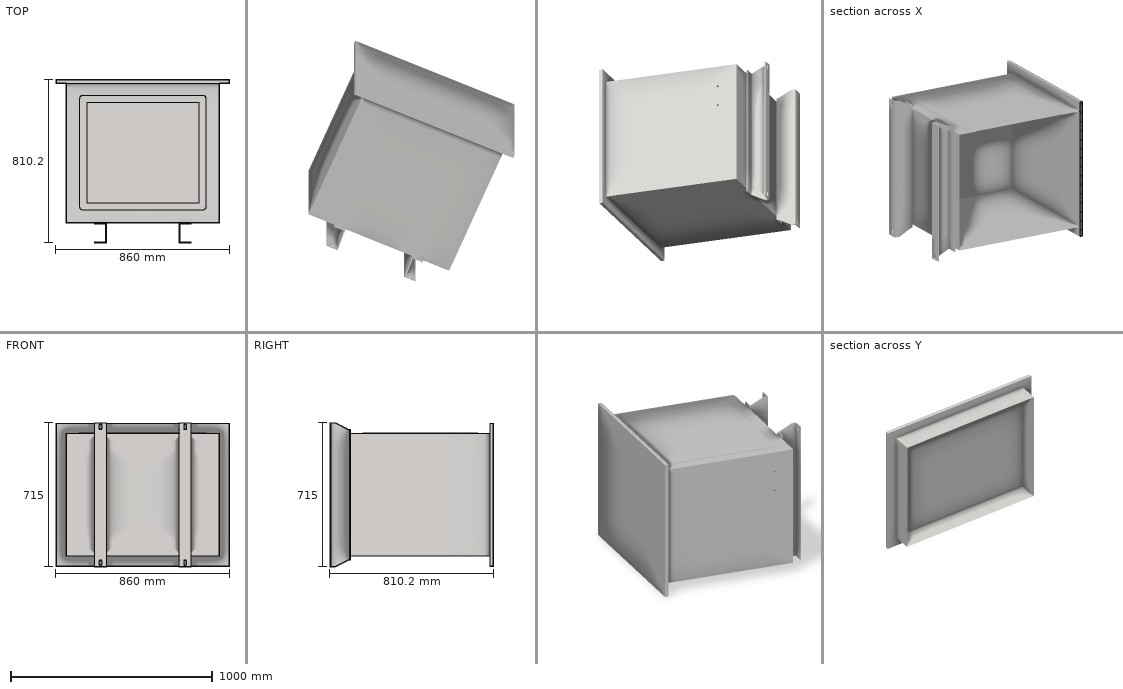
import cadquery as cq

OVERALL_DEPTH = 810.2

PLATE_WIDTH = 860.0
PLATE_HEIGHT = 710.0
PLATE_THICKNESS = 18.0

RAIL_DEPTH = 100.0
RAIL_WIDTH = 60.0
RAIL_SHEET = 5.0
RAIL_GAP = 360.0
RAIL_FRONT_HEIGHT = 715.0
RAIL_BACK_HEIGHT = 646.0
RAIL_FRONT_STRAIGHT = 25.0
RAIL_BACK_STRAIGHT = 8.0
SLOT_LENGTH = 26.0
SLOT_WIDTH = 13.0
SLOT_END_DISTANCE = 20.0

BOX_WIDTH = 760.0
BOX_HEIGHT = 610.0
BOX_DEPTH = OVERALL_DEPTH - PLATE_THICKNESS - RAIL_DEPTH
WALL = 1.5
SIDE_HOLE_DIAMETER = 9.0
SIDE_HOLE_HEIGHTS = (100.0, 200.0)
SIDE_HOLE_FRONT_DISTANCE = 100.0

OPENING_WIDTH = 556.0
OPENING_LENGTH = 498.0
OPENING_CENTRE_Y = -344.4
COVER_OVERLAP = 35.0
COVER_WIDTH = OPENING_WIDTH + 2 * COVER_OVERLAP
COVER_LENGTH = OPENING_LENGTH + 2 * COVER_OVERLAP
COVER_THICKNESS = 1.5
COVER_CORNER_RADIUS = 14.0

BOX_FRONT = -BOX_DEPTH
BOX_TOP = BOX_HEIGHT / 2
BOX_LEFT = -BOX_WIDTH / 2
RAIL_FRONT = BOX_FRONT - RAIL_DEPTH


def block(width, depth, height, front):
    """Box centred in X and Z that reaches from the given front Y toward +Y."""
    return (
        cq.Workplane("XY")
        .box(width, depth, height, centered=(True, False, True))
        .translate((0, front, 0))
    )


def slab(width, length, thickness, bottom):
    """Flat plate centred on the top opening, standing on the given Z."""
    return (
        cq.Workplane("XY", origin=(0, OPENING_CENTRE_Y, bottom))
        .rect(width, length)
        .extrude(thickness)
    )


def make_rail(side):
    """Rail whose web faces the middle and whose flanges point outward (side is -1 or 1)."""
    front_end = RAIL_FRONT_HEIGHT / 2
    back_end = RAIL_BACK_HEIGHT / 2
    web_x = side * RAIL_GAP / 2
    middle_x = web_x + side * RAIL_WIDTH / 2

    outline = (
        cq.Workplane("YZ", origin=(web_x, 0, 0))
        .moveTo(RAIL_FRONT, 0)
        .lineTo(RAIL_FRONT, front_end)
        .lineTo(RAIL_FRONT + RAIL_FRONT_STRAIGHT, front_end)
        .lineTo(BOX_FRONT - RAIL_BACK_STRAIGHT, back_end)
        .lineTo(BOX_FRONT, back_end)
        .lineTo(BOX_FRONT, 0)
        .mirrorX()
        .extrude(side * RAIL_WIDTH)
    )
    space_between_flanges = block(
        RAIL_WIDTH, RAIL_DEPTH - 2 * RAIL_SHEET, RAIL_FRONT_HEIGHT, RAIL_FRONT + RAIL_SHEET
    ).translate((middle_x + side * RAIL_SHEET, 0, 0))

    slot_height = front_end - SLOT_END_DISTANCE
    slots = (
        cq.Workplane("XZ", origin=(middle_x, RAIL_FRONT, 0))
        .pushPoints([(0, -slot_height), (0, slot_height)])
        .slot2D(SLOT_LENGTH, SLOT_WIDTH, 90)
        .extrude(-RAIL_SHEET)
    )
    return outline.cut(space_between_flanges).cut(slots)


def make_housing():
    """Hollow box with its rear plate and the two rails welded on."""
    shell = block(BOX_WIDTH, BOX_DEPTH, BOX_HEIGHT, BOX_FRONT)
    cavity = block(BOX_WIDTH - 2 * WALL, BOX_DEPTH - WALL, BOX_HEIGHT - 2 * WALL, BOX_FRONT + WALL)
    opening = slab(OPENING_WIDTH, OPENING_LENGTH, WALL, BOX_TOP - WALL)
    hole_y = BOX_FRONT + SIDE_HOLE_FRONT_DISTANCE
    side_holes = (
        cq.Workplane("YZ", origin=(BOX_LEFT, 0, 0))
        .pushPoints([(hole_y, height) for height in SIDE_HOLE_HEIGHTS])
        .circle(SIDE_HOLE_DIAMETER / 2)
        .extrude(WALL)
    )
    body = shell.cut(cavity).cut(opening).cut(side_holes)
    body = body.union(block(PLATE_WIDTH, PLATE_THICKNESS, PLATE_HEIGHT, 0))
    for side in (-1, 1):
        body = body.union(make_rail(side))
    return body


def make_cover():
    """Round-cornered plate resting on the top wall over the opening."""
    plate = slab(COVER_WIDTH, COVER_LENGTH, COVER_THICKNESS, BOX_TOP)
    return plate.edges("|Z").fillet(COVER_CORNER_RADIUS)


housing = make_housing()
cover = make_cover()

result = cq.Compound.makeCompound([housing.solids().val(), cover.solids().val()])